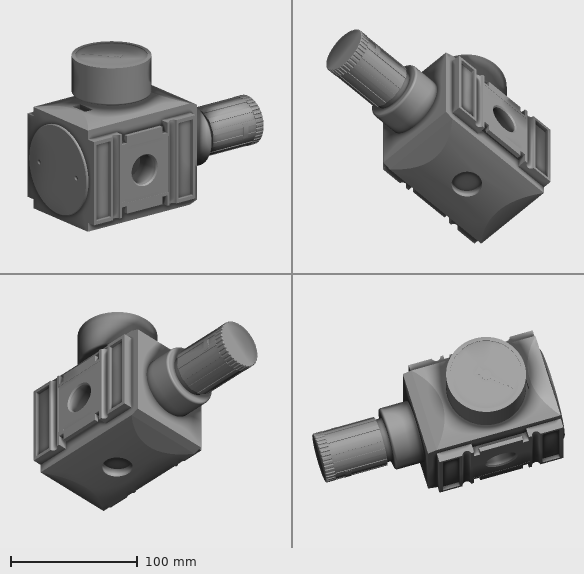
import cadquery as cq
import math


overall_length = 191.0

body_half_length = 51.0
core_width = 69.7
shoulder_height = 42.4
crown_height = 46.6
crown_flat_half = 36.0
rear_plate_y = 58.0
rear_plate_height = 40.0

overall_width = 85.0
pad_height = 69.7
pad_face_x = overall_width / 2
pad_root_x = core_width / 2
rail_groove_y = 28.5
rail_groove_diameter = 7.0
rail_groove_offset = 0.5
window_center_y = 41.0
window_width = 14.3
window_height = 63.8
window_depth = 3.0
window_corner = 0.8
notch_width = 45.0
notch_floor_z = 26.2
tongue_width = 35.1
tongue_top_z = 32.5
tongue_top_thickness = 3.2
tongue_root_thickness = 4.8

port_diameter = 24.0
port_chamfer = 1.1
port_depth = 21.0
port_panel_size = 47.2
port_panel_depth = 0.2
panel_key_length = 6.3
panel_key_height = 1.7

collar_diameter = 50.0
collar_end_y = 81.5
collar_fillet = 1.7
neck_diameter = 35.0
knob_start_y = 86.7
knurl_start_y = 129.5
knob_end_y = 137.1
knob_rib_diameter = 39.7
knob_base_diameter = 38.5
knurl_diameter = 40.1
rib_count = 12
rib_angle = 11.8
knurl_count = 36
knurl_groove_diameter = 1.7
knurl_chamfer = 0.5
knob_mark_y = 119.0
knob_mark_length = 5.0
knob_mark_height = 12.2

cap_neck_diameter = 60.0
cap_diameter = 74.0
cap_back_y = -52.0
cap_front_y = knob_end_y - overall_length
cap_chamfer = 0.5
pin_hole_x = 23.7
pin_hole_diameter = 3.2
pin_hole_chamfer = 0.4
pin_hole_depth = 1.5

gauge_diameter = 63.0
gauge_bottom_z = 53.3
gauge_top_z = 84.6
gauge_fillet = 1.5
dial_diameter = 57.0
dial_depth = 0.5
stem_square = 14.3
stem_bottom_z = 47.2
stem_foot_diameter = 16.8
stem_chamfer = 0.8

gauge_port_diameter = port_diameter
gauge_port_floor_z = 39.0

pointer_height = 0.2
pointer_angle = 45
pointer_tip = 24.8
pointer_tail = 8.4
pointer_tail_half = 3.8
pointer_neck_half = 2.0
pointer_root_half = 1.3
pointer_hub_radius = 4.0

recess_width = 15.9
recess_front_y = -33.0
recess_length = 7.8


def cylinder_y(diameter, start, end):
    """Cylinder about the Y axis between two Y positions."""
    return cq.Workplane("XZ", origin=(0, start, 0)).circle(diameter / 2).extrude(start - end)


def box_between(x_range, y_range, z_range):
    """Box given by its lower and upper limits on each axis."""
    limits = (x_range, y_range, z_range)
    sizes = [upper - lower for lower, upper in limits]
    center = tuple((lower + upper) / 2 for lower, upper in limits)
    return cq.Workplane("XY").box(*sizes).translate(center)


def make_core():
    """Block with barrel-shaped top and bottom, tapering towards both ends."""
    half_width = core_width / 2
    barrel = (
        cq.Workplane("XZ", origin=(0, rear_plate_y, 0))
        .moveTo(-half_width, -shoulder_height)
        .threePointArc((0, -crown_height), (half_width, -shoulder_height))
        .lineTo(half_width, shoulder_height)
        .threePointArc((0, crown_height), (-half_width, shoulder_height))
        .close()
        .extrude(rear_plate_y + body_half_length)
    )
    slope = (crown_height - shoulder_height) / (body_half_length - crown_flat_half)
    ridge_z = shoulder_height + slope * body_half_length
    upper_side = [
        (-body_half_length, shoulder_height),
        (0, ridge_z),
        (body_half_length, shoulder_height),
        (rear_plate_y, rear_plate_height),
    ]
    lower_side = [(y, -z) for y, z in reversed(upper_side)]
    taper = cq.Workplane("YZ").polyline(upper_side + lower_side).close().extrude(half_width, both=True)
    return barrel.intersect(taper)


def make_notch():
    """Cut over the upper edge of the right pad that leaves a thin tongue standing."""
    half_length = notch_width / 2
    opening = box_between(
        (pad_root_x, pad_face_x), (-half_length, half_length), (notch_floor_z, pad_height / 2)
    )
    tongue = (
        cq.Workplane("XZ", origin=(0, tongue_width / 2, 0))
        .polyline([
            (pad_face_x, notch_floor_z),
            (pad_face_x, tongue_top_z),
            (pad_face_x - tongue_top_thickness, tongue_top_z),
            (pad_face_x - tongue_root_thickness, notch_floor_z),
        ])
        .close()
        .extrude(tongue_width)
    )
    return opening.cut(tongue)


def make_port_panel():
    """Shallow square recess around the port with one stepped corner."""
    half = port_panel_size / 2
    depth = port_panel_depth
    panel = box_between((pad_face_x - depth, pad_face_x), (-half, half), (-half, half))
    key = box_between(
        (pad_face_x - depth, pad_face_x),
        (-half, panel_key_length - half),
        (-half, panel_key_height - half),
    )
    return panel.cut(key)


def make_pad():
    """Right-hand mounting pad with grooves, windows and notches."""
    half_height = pad_height / 2
    pad = box_between(
        (pad_root_x, pad_face_x), (-body_half_length, body_half_length), (-half_height, half_height)
    )
    for side in (-1, 1):
        groove = (
            cq.Workplane("XY", origin=(pad_face_x + rail_groove_offset, side * rail_groove_y, 0))
            .circle(rail_groove_diameter / 2)
            .extrude(half_height, both=True)
        )
        window = (
            cq.Workplane("XY")
            .box(2 * window_depth, window_width, window_height)
            .edges("|X")
            .fillet(window_corner)
            .translate((pad_face_x, side * window_center_y, 0))
        )
        pad = pad.cut(groove).cut(window)
    notch = make_notch()
    return pad.cut(notch).cut(notch.mirror("XY")).cut(make_port_panel())


def make_port():
    """Blind port bore with a chamfered mouth, entering from the right."""
    mouth_x = pad_face_x - port_panel_depth
    radius = port_diameter / 2
    profile = [
        (mouth_x, 0),
        (mouth_x, radius + port_chamfer),
        (mouth_x - port_chamfer, radius),
        (mouth_x - port_depth, radius),
        (mouth_x - port_depth, 0),
    ]
    return cq.Workplane("XY").polyline(profile).close().revolve(360, (0, 0, 0), (1, 0, 0))


def make_knob_rib():
    """Narrow raised rib pointing along +X, trimmed to the outer knob radius."""
    rib_half = knob_rib_diameter / 2 * math.sin(math.radians(rib_angle / 2))
    blank = box_between(
        (0, knob_rib_diameter), (knob_start_y, knurl_start_y), (-rib_half, rib_half)
    )
    return blank.intersect(cylinder_y(knob_rib_diameter, knob_start_y, knurl_start_y))


def make_knob():
    """Ribbed grip with a knurled end and a low raised mark on its left and right sides."""
    knob = cylinder_y(knob_base_diameter, knob_start_y, knurl_start_y)
    rib = make_knob_rib()
    rib_pitch = 360 / rib_count
    for index in range(rib_count):
        angle = rib_pitch * (index + 0.5)
        knob = knob.union(rib.rotate((0, 0, 0), (0, 1, 0), angle))

    half_mark = knob_mark_height / 2
    marks = box_between(
        (-knurl_diameter, knurl_diameter),
        (knob_mark_y - knob_mark_length / 2, knob_mark_y + knob_mark_length / 2),
        (-half_mark, half_mark),
    )
    marks = marks.intersect(cylinder_y(knurl_diameter, knob_start_y, knurl_start_y))
    knob = knob.union(marks)

    knurl = cylinder_y(knurl_diameter, knurl_start_y, knob_end_y).faces(">Y").chamfer(knurl_chamfer)
    grooves = (
        cq.Workplane("XZ", origin=(0, knurl_start_y, 0))
        .polarArray(knurl_diameter / 2, 0, 360, knurl_count)
        .circle(knurl_groove_diameter / 2)
        .extrude(knurl_start_y - knob_end_y)
    )
    return knob.union(knurl.cut(grooves))


def make_bonnet():
    """Round collar behind the body and the neck that carries the knob."""
    collar = cylinder_y(collar_diameter, rear_plate_y, collar_end_y)
    collar = collar.faces(">Y").edges().fillet(collar_fillet)
    return collar.union(cylinder_y(neck_diameter, collar_end_y, knob_start_y))


def make_cap():
    """Flanged cap on the front end with two spanner holes."""
    flange = cylinder_y(cap_diameter, cap_back_y, cap_front_y).faces("<Y").chamfer(cap_chamfer)
    radius = pin_hole_diameter / 2
    hole = (
        cq.Workplane("XY")
        .polyline([
            (0, cap_front_y),
            (radius + pin_hole_chamfer, cap_front_y),
            (radius, cap_front_y + pin_hole_chamfer),
            (radius, cap_front_y + pin_hole_depth),
            (0, cap_front_y + pin_hole_depth),
        ])
        .close()
        .revolve(360, (0, 0, 0), (0, 1, 0))
    )
    for side in (-1, 1):
        flange = flange.cut(hole.translate((side * pin_hole_x, 0, 0)))
    return flange.union(cylinder_y(cap_neck_diameter, -body_half_length, cap_back_y))


def make_pointer():
    """Gauge hand lying on the dial, its tail towards +X and +Y."""
    plane = cq.Workplane("XY", origin=(0, 0, gauge_top_z - dial_depth))
    outline = [
        (-pointer_tip, 0),
        (0, pointer_root_half),
        (0, pointer_neck_half),
        (pointer_hub_radius, pointer_neck_half),
        (pointer_tail, pointer_tail_half),
    ]
    mirrored = [(u, -v) for u, v in reversed(outline[1:])]
    hand = plane.polyline(outline + mirrored).close().extrude(pointer_height)
    hub = plane.circle(pointer_hub_radius).extrude(pointer_height)
    return hand.union(hub).rotate((0, 0, 0), (0, 0, 1), pointer_angle)


def make_gauge():
    """Round gauge on a square stem with a round foot."""
    case = (
        cq.Workplane("XY", origin=(0, 0, gauge_bottom_z))
        .circle(gauge_diameter / 2)
        .extrude(gauge_top_z - gauge_bottom_z)
        .faces("<Z")
        .edges()
        .fillet(gauge_fillet)
    )
    dial = (
        cq.Workplane("XY", origin=(0, 0, gauge_top_z - dial_depth))
        .circle(dial_diameter / 2)
        .extrude(dial_depth)
    )
    stem_length = gauge_bottom_z - stem_bottom_z
    stem = (
        cq.Workplane("XY", origin=(0, 0, stem_bottom_z))
        .rect(stem_square, stem_square)
        .extrude(stem_length)
    )
    turned_blank = (
        cq.Workplane("XY", origin=(0, 0, stem_bottom_z))
        .circle(stem_square)
        .extrude(stem_length)
        .faces("<Z")
        .chamfer(stem_chamfer, stem_square - stem_foot_diameter / 2)
    )
    stem = stem.intersect(turned_blank)
    foot = (
        cq.Workplane("XY", origin=(0, 0, gauge_port_floor_z))
        .circle(stem_foot_diameter / 2)
        .extrude(stem_bottom_z - gauge_port_floor_z)
    )
    return case.cut(dial).union(make_pointer()).union(stem).union(foot)


def make_gauge_port():
    """Shallow bore in the crown that takes the gauge foot."""
    return (
        cq.Workplane("XY", origin=(0, 0, gauge_port_floor_z))
        .circle(gauge_port_diameter / 2)
        .extrude(crown_height - gauge_port_floor_z)
    )


def make_top_recess():
    """Rectangular pocket in the crown, down to shoulder level."""
    half_width = recess_width / 2
    return box_between(
        (-half_width, half_width),
        (recess_front_y, recess_front_y + recess_length),
        (shoulder_height, crown_height),
    )


pad = make_pad()
port = make_port()
gauge_port = make_gauge_port()
body = make_core().cut(make_top_recess())
body = body.cut(gauge_port).cut(gauge_port.mirror("XY"))
body = body.union(pad).union(pad.mirror("YZ"))
body = body.cut(port).cut(port.mirror("YZ"))
result = body.union(make_bonnet()).union(make_knob()).union(make_cap()).union(make_gauge())